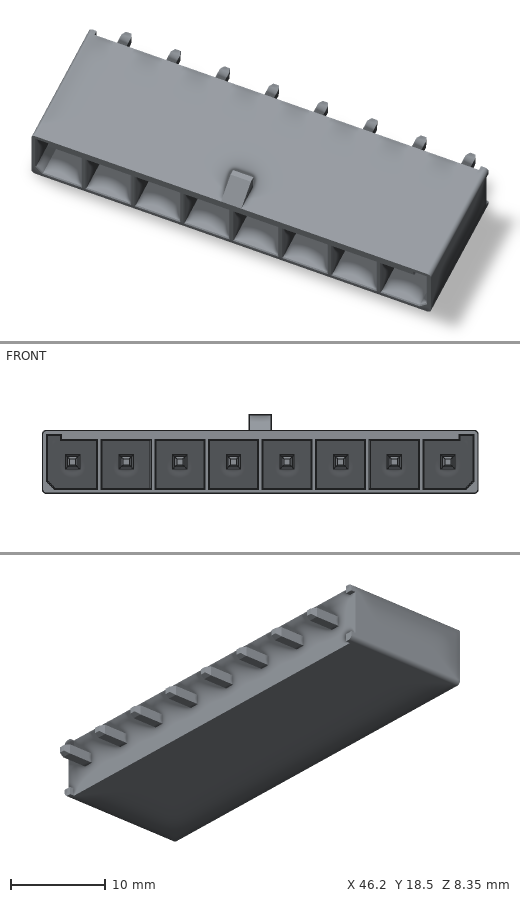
import cadquery as cq

LENGTH = 46.25
HEIGHT = 6.7
DEPTH = 14.75
EDGE_RADIUS = 0.45

CONTACT_COUNT = 8
PITCH = 5.7
CONTACT_Z = HEIGHT / 2

RIM_WALL = 0.44
RIM_PARTITION = 0.35
RIM_TOP_WALL = 0.95
MOUTH_CHAMFER = 0.115
WALL = RIM_WALL + MOUTH_CHAMFER
TOP_WALL = RIM_TOP_WALL + MOUTH_CHAMFER
PARTITION = RIM_PARTITION + 2 * MOUTH_CHAMFER
CAVITY_DEPTH = 11.55
CORNER_CHAMFER = 0.8
NOTCH_WIDTH = 1.4

STANDOFF_SIZE = 0.9
STANDOFF_HEIGHT = 0.55

LATCH_WIDTH = 2.35
LATCH_HEIGHT = 1.65
LATCH_BASE = 3.05
LATCH_OVERHANG = 0.15
LATCH_FLAT = 0.65

PIN_WIDTH = 1.1
PIN_FRONT_Y = 4.62
PIN_REAR_Y = 18.5
TIP_LENGTH = 0.65
TIP_WIDTH = 0.65
LEAD_IN_WIDTH = 1.53
LEAD_IN_DEPTH = (LEAD_IN_WIDTH - PIN_WIDTH) / 2

contact_xs = [(i - (CONTACT_COUNT - 1) / 2) * PITCH for i in range(CONTACT_COUNT)]
inner_half_length = LENGTH / 2 - WALL
cavity_top = HEIGHT - TOP_WALL


def block(x_range, y_range, z_range):
    """Axis-aligned box given by its limits along each axis."""
    sizes = [high - low for low, high in (x_range, y_range, z_range)]
    corner = (x_range[0], y_range[0], z_range[0])
    return cq.Workplane("XY").box(*sizes, centered=False).translate(corner)


def square_frustum(x, y_start, width_start, y_end, width_end):
    """Square section on the contact axis that tapers evenly along +Y."""
    return (
        cq.Workplane("XZ", origin=(x, y_start, CONTACT_Z))
        .rect(width_start, width_start)
        .workplane(offset=y_start - y_end)
        .rect(width_end, width_end)
        .loft(ruled=True)
    )


def square_bar(x, y_start, y_end):
    """Straight square bar with the pin's section on the contact axis."""
    half = PIN_WIDTH / 2
    return block((x - half, x + half), (y_start, y_end), (CONTACT_Z - half, CONTACT_Z + half))


def make_shell():
    """Rounded block, cut back at the rear so that only the corner standoffs stay proud."""
    total_depth = DEPTH + STANDOFF_HEIGHT
    shell = block((-LENGTH / 2, LENGTH / 2), (0, total_depth), (0, HEIGHT)).edges("|Y").fillet(EDGE_RADIUS)
    rear = (DEPTH, total_depth)
    half_gap = LENGTH / 2 - STANDOFF_SIZE
    between_ends = block((-half_gap, half_gap), rear, (0, HEIGHT))
    between_levels = block((-LENGTH / 2, LENGTH / 2), rear, (STANDOFF_SIZE, HEIGHT - STANDOFF_SIZE))
    return shell.cut(between_ends).cut(between_levels)


def make_latch():
    """Ramp that rises from the mating face to a flat crest with an undercut back."""
    crest_y = LATCH_BASE + LATCH_OVERHANG
    crest_z = HEIGHT + LATCH_HEIGHT
    return (
        cq.Workplane("YZ", origin=(-LATCH_WIDTH / 2, 0, 0))
        .polyline(
            [
                (0, HEIGHT),
                (crest_y - LATCH_FLAT, crest_z),
                (crest_y, crest_z),
                (LATCH_BASE, HEIGHT),
            ]
        )
        .close()
        .extrude(LATCH_WIDTH)
    )


def make_cavities():
    """One full-length recess with chamfered lower corners and raised end notches, less the partitions."""
    depth = (0, CAVITY_DEPTH)
    recess = block((-inner_half_length, inner_half_length), depth, (WALL, cavity_top))
    recess = recess.edges("|Y and <Z").chamfer(CORNER_CHAMFER)
    for side in (-1, 1):
        notch_xs = sorted((side * inner_half_length, side * (inner_half_length - NOTCH_WIDTH)))
        recess = recess.union(block(notch_xs, depth, (cavity_top, HEIGHT - WALL)))
    for x in contact_xs[:-1]:
        middle = x + PITCH / 2
        partition_xs = (middle - PARTITION / 2, middle + PARTITION / 2)
        recess = recess.cut(block(partition_xs, depth, (WALL, cavity_top)))
    return recess


def make_pin_hole(x):
    """Square through hole in the cavity floor with a flared mouth."""
    flare_end = CAVITY_DEPTH + LEAD_IN_DEPTH
    flare = square_frustum(x, CAVITY_DEPTH, LEAD_IN_WIDTH, flare_end, PIN_WIDTH)
    return flare.union(square_bar(x, CAVITY_DEPTH, DEPTH))


def make_housing():
    """Shell with chamfered cavity mouths, the latch and one hole for each pin."""
    housing = make_shell().cut(make_cavities())
    mouth_edges = [edge for wire in housing.faces("<Y").val().innerWires() for edge in wire.Edges()]
    housing = housing.newObject(mouth_edges).chamfer(MOUTH_CHAMFER)
    housing = housing.union(make_latch())
    for x in contact_xs:
        housing = housing.cut(make_pin_hole(x))
    return housing


def make_pin(x):
    """Square pin with a tapered tip at each end."""
    front_shoulder = PIN_FRONT_Y + TIP_LENGTH
    rear_shoulder = PIN_REAR_Y - TIP_LENGTH
    pin = square_bar(x, front_shoulder, rear_shoulder)
    pin = pin.union(square_frustum(x, PIN_FRONT_Y, TIP_WIDTH, front_shoulder, PIN_WIDTH))
    return pin.union(square_frustum(x, rear_shoulder, PIN_WIDTH, PIN_REAR_Y, TIP_WIDTH))


housing = make_housing()
pins = [make_pin(x) for x in contact_xs]

result = cq.Compound.makeCompound([housing.val(), *[pin.val() for pin in pins]])